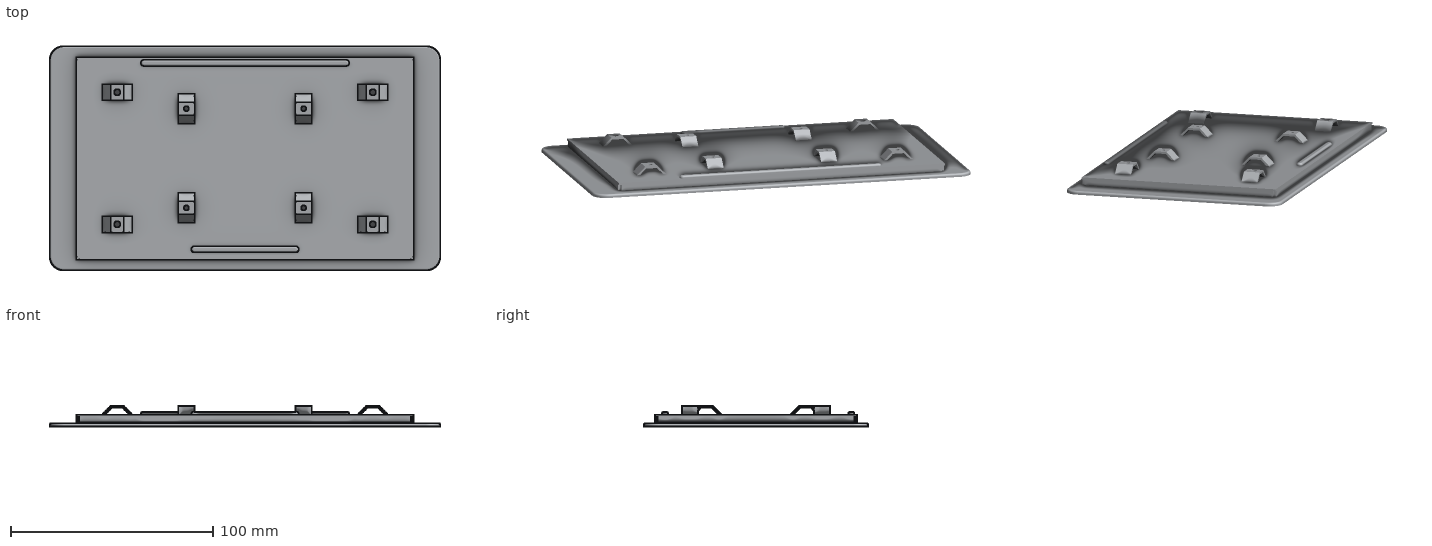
import cadquery as cq
import math

plate_length = 193.0
plate_width = 110.8
plate_thickness = 1.7
plate_corner_radius = 7.0
plate_edge_radius = 1.0

overall_height = 10.2
sheet_thickness = 1.0
pan_length = 166.5
pan_width = 100.0
pan_top = 6.0
pan_rim = 2.1
corner_gap = 1.4

core_length = pan_length - 2 * sheet_thickness
core_width = pan_width - 2 * sheet_thickness
core_top = pan_top - sheet_thickness

rib_width = 3.0
rib_height = 1.4
rib_edge_radius = 1.0
rear_rib_length = 102.8
rear_rib_y = 47.0
front_rib_length = 53.0
front_rib_y = -45.0

leg_angle = 45
bracket_width = 8.1
bracket_flat_length = 6.4
bracket_rise = overall_height - pan_top
outer_bracket_x = 63.1
outer_bracket_y = 32.6
outer_hole_diameter = 3.0
inner_bracket_x = 29.0
inner_bracket_y = 24.5
inner_hole_diameter = 2.5


def block(length, width, bottom, top):
    """Rectangular block centred on the Z axis, between two heights."""
    return cq.Workplane("XY").workplane(offset=bottom).rect(length, width).extrude(top - bottom)


def make_plate():
    """Cover plate with rounded corners and a rounded upper rim."""
    plate = block(plate_length, plate_width, 0, plate_thickness)
    plate = plate.edges("|Z").fillet(plate_corner_radius)
    return plate.faces(">Z").edges().fillet(plate_edge_radius)


def make_core():
    """Block inside the pan."""
    return block(core_length, core_width, plate_thickness, core_top)


def make_rib(length, y):
    """Round-ended rib along X with a rounded top edge."""
    rib = cq.Workplane("XY").workplane(offset=pan_top).center(0, y)
    rib = rib.slot2D(length, rib_width).extrude(rib_height)
    return rib.faces(">Z").edges().fillet(rib_edge_radius)


def make_bracket(hole_diameter):
    """Bracket bridging along X: two sloping legs joined by a drilled flat, standing on Z = 0."""
    leg_run = 1 / math.tan(math.radians(leg_angle))
    outer_half_flat = bracket_flat_length / 2
    inner_half_flat = outer_half_flat - sheet_thickness * math.tan(math.radians(leg_angle / 2))
    inner_rise = bracket_rise - sheet_thickness
    outer_half_base = outer_half_flat + bracket_rise * leg_run
    inner_half_base = inner_half_flat + inner_rise * leg_run
    profile = [
        (-outer_half_base, 0),
        (-outer_half_flat, bracket_rise),
        (outer_half_flat, bracket_rise),
        (outer_half_base, 0),
        (inner_half_base, 0),
        (inner_half_flat, inner_rise),
        (-inner_half_flat, inner_rise),
        (-inner_half_base, 0),
    ]
    sheet = cq.Workplane("XZ").polyline(profile).close().extrude(bracket_width / 2, both=True)
    hole = (
        cq.Workplane("XY")
        .workplane(offset=inner_rise)
        .circle(hole_diameter / 2)
        .extrude(sheet_thickness)
    )
    return sheet.cut(hole)


def make_pan_shell():
    """Top sheet with four walls folded down, the walls open at the corners."""
    shell = block(pan_length, pan_width, pan_rim, pan_top)
    shell = shell.cut(block(core_length, core_width, pan_rim, core_top))
    corner_openings = (
        cq.Workplane("XY")
        .workplane(offset=pan_rim)
        .rect(pan_length, pan_width, forConstruction=True)
        .vertices()
        .rect(2 * corner_gap, 2 * corner_gap)
        .extrude(core_top - pan_rim)
    )
    return shell.cut(corner_openings)


def make_pan():
    """Pan with its ribs and brackets as one solid."""
    pan = make_pan_shell()
    pan = pan.union(make_rib(rear_rib_length, rear_rib_y))
    pan = pan.union(make_rib(front_rib_length, front_rib_y))
    outer_bracket = make_bracket(outer_hole_diameter)
    inner_bracket = make_bracket(inner_hole_diameter).rotate((0, 0, 0), (0, 0, 1), 90)
    for side_x in (-1, 1):
        for side_y in (-1, 1):
            outer_place = (side_x * outer_bracket_x, side_y * outer_bracket_y, pan_top)
            inner_place = (side_x * inner_bracket_x, side_y * inner_bracket_y, pan_top)
            pan = pan.union(outer_bracket.translate(outer_place))
            pan = pan.union(inner_bracket.translate(inner_place))
    return pan


plate = make_plate()
core = make_core()
pan = make_pan()

result = cq.Compound.makeCompound([plate.solids().val(), core.solids().val(), pan.solids().val()])